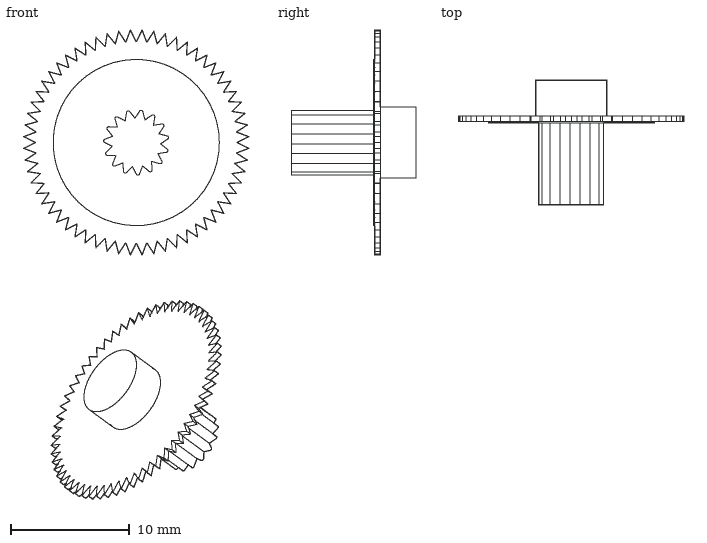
import cadquery as cq
import math

HUB_LENGTH = 3.0
WHEEL_THICKNESS = 0.5
STEP_THICKNESS = 0.1
PINION_LENGTH = 6.9

HUB_DIAMETER = 6.0
STEP_DIAMETER = 14.0

WHEEL_TEETH = 60
WHEEL_TIP_RADIUS = 9.5
WHEEL_ROOT_RADIUS = 8.5

PINION_TEETH = 15
PINION_TIP_RADIUS = 2.75
PINION_ROOT_RADIUS = 2.05
PINION_TIP_ROUND = 0.15
PINION_PHASE = 9.0

WHEEL_FRONT = -WHEEL_THICKNESS
STEP_FRONT = WHEEL_FRONT - STEP_THICKNESS


def polar(radius, degrees):
    """Point in the XZ plane at a radius and an angle from +X towards +Z."""
    angle = math.radians(degrees)
    return (radius * math.cos(angle), radius * math.sin(angle))


def plane_at(y):
    """Sketch plane facing -Y, with +X and +Z as its axes."""
    return cq.Workplane("XZ", origin=(0, y, 0))


def disc(diameter, back, front):
    return plane_at(back).circle(diameter / 2).extrude(back - front)


def toothed_wheel():
    pitch = 360 / WHEEL_TEETH
    points = []
    for tooth in range(WHEEL_TEETH):
        points.append(polar(WHEEL_ROOT_RADIUS, tooth * pitch))
        points.append(polar(WHEEL_TIP_RADIUS, (tooth + 0.5) * pitch))
    return plane_at(0).polyline(points).close().extrude(WHEEL_THICKNESS)


def pinion():
    pitch = 360 / PINION_TEETH

    round_centre = PINION_TIP_RADIUS - PINION_TIP_ROUND
    root_x, root_y = polar(PINION_ROOT_RADIUS, pitch / 2)
    reach = math.hypot(round_centre - root_x, root_y)
    lean = math.atan2(root_y, round_centre - root_x) - math.asin(PINION_TIP_ROUND / reach)
    tangent_x = round_centre + PINION_TIP_ROUND * math.sin(lean)
    tangent_y = PINION_TIP_ROUND * math.cos(lean)
    tangent_radius = math.hypot(tangent_x, tangent_y)
    tangent_angle = math.degrees(math.atan2(tangent_y, tangent_x))

    outline = plane_at(STEP_FRONT).moveTo(*polar(PINION_ROOT_RADIUS, PINION_PHASE - pitch / 2))
    for tooth in range(PINION_TEETH):
        middle = PINION_PHASE + tooth * pitch
        outline = outline.lineTo(*polar(tangent_radius, middle - tangent_angle))
        outline = outline.threePointArc(
            polar(PINION_TIP_RADIUS, middle),
            polar(tangent_radius, middle + tangent_angle),
        )
        if tooth < PINION_TEETH - 1:
            outline = outline.lineTo(*polar(PINION_ROOT_RADIUS, middle + pitch / 2))
    return outline.close().extrude(PINION_LENGTH)


hub = disc(HUB_DIAMETER, HUB_LENGTH, 0)
step = disc(STEP_DIAMETER, WHEEL_FRONT, STEP_FRONT)

result = toothed_wheel().union(hub).union(step).union(pinion())